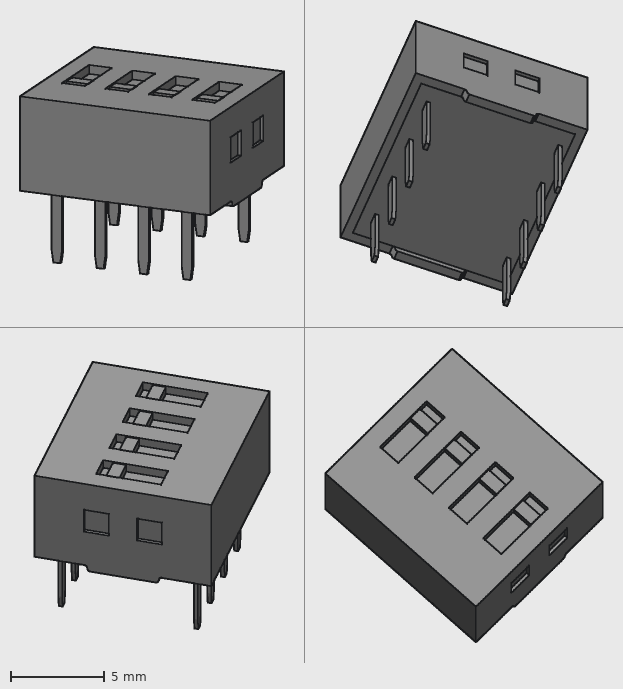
import cadquery as cq

LENGTH = 11.16
WIDTH = 9.9
HEIGHT = 5.31
WALL = 0.51
ROOF = 0.5

FOOT_HEIGHT = 0.37
FOOT_TOP_WIDTH = 4.27
FOOT_BOTTOM_WIDTH = 3.72

SWITCH_COUNT = 4
PITCH = 2.55
SLOT_WIDTH = 1.34
SLOT_LENGTH = 3.63
SLIDER_GAP = 0.028
SLIDER_LENGTH = 0.74
SLIDER_Y = -0.89
SLIDER_DROP = 0.05

WINDOW_WIDTH = 1.4
WINDOW_HEIGHT = 1.43
WINDOW_SPACING = 2.97
WINDOW_TOP_DROP = 1.7
TAB_RECESS = 0.2

PIN_LENGTH = 4.08
PIN_WIDTH = 0.6
PIN_TIP_WIDTH = 0.4
PIN_TAPER = 0.7
PIN_THICKNESS = 0.22
ROW_SPACING = 7.59
ROW_OFFSET = -0.15

CORE_LENGTH = LENGTH - 2 * WALL
CORE_WIDTH = WIDTH - 2 * WALL
CORE_HEIGHT = HEIGHT - ROOF
FLANK_RUN = (FOOT_TOP_WIDTH - FOOT_BOTTOM_WIDTH) / 4
FLANK_RADIUS = (FLANK_RUN**2 + (FOOT_HEIGHT / 2) ** 2) / (2 * FLANK_RUN)
WINDOW_Z = HEIGHT - WINDOW_TOP_DROP - WINDOW_HEIGHT
SWITCH_XS = [(i - (SWITCH_COUNT - 1) / 2) * PITCH for i in range(SWITCH_COUNT)]


def block(x_size, y_size, z_size, x=0.0, y=0.0, z=0.0):
    """Box centred on (x, y) that stands on height z."""
    return cq.Workplane("XY").box(x_size, y_size, z_size, centered=(True, True, False)).translate((x, y, z))


def make_foot(side):
    """Foot under one end wall; each S-shaped flank is two arcs that meet upright at half height."""
    half_top = FOOT_TOP_WIDTH / 2
    half_bottom = FOOT_BOTTOM_WIDTH / 2
    half_middle = (half_top + half_bottom) / 2
    middle_z = -FOOT_HEIGHT / 2
    return (
        cq.Workplane("YZ", origin=(side * (LENGTH - WALL) / 2 - WALL / 2, 0, 0))
        .moveTo(-half_middle, middle_z)
        .radiusArc((-half_bottom, -FOOT_HEIGHT), -FLANK_RADIUS)
        .lineTo(half_bottom, -FOOT_HEIGHT)
        .radiusArc((half_middle, middle_z), -FLANK_RADIUS)
        .radiusArc((half_top, 0), FLANK_RADIUS)
        .lineTo(-half_top, 0)
        .radiusArc((-half_middle, middle_z), FLANK_RADIUS)
        .close()
        .extrude(WALL)
    )


def end_wall_blocks(depth):
    """Four window-sized blocks reaching outward from the core by the given depth."""
    blocks = []
    for side in (-1, 1):
        for row in (-1, 1):
            x = side * (CORE_LENGTH + depth) / 2
            y = row * WINDOW_SPACING / 2
            blocks.append(block(depth, WINDOW_WIDTH, WINDOW_HEIGHT, x, y, WINDOW_Z))
    return blocks


def make_housing():
    housing = block(LENGTH, WIDTH, HEIGHT).cut(block(CORE_LENGTH, CORE_WIDTH, CORE_HEIGHT))
    for x in SWITCH_XS:
        housing = housing.cut(block(SLOT_WIDTH, SLOT_LENGTH, ROOF, x, 0, CORE_HEIGHT))
    for window in end_wall_blocks(WALL):
        housing = housing.cut(window)
    for side in (-1, 1):
        housing = housing.union(make_foot(side))
    return housing


def make_pin(x, y):
    """Flat pin below the base with a tapered tip."""
    taper_z = PIN_TAPER - PIN_LENGTH
    return (
        cq.Workplane("XZ", origin=(x, y + PIN_THICKNESS / 2, 0))
        .polyline([
            (-PIN_WIDTH / 2, 0),
            (PIN_WIDTH / 2, 0),
            (PIN_WIDTH / 2, taper_z),
            (PIN_TIP_WIDTH / 2, -PIN_LENGTH),
            (-PIN_TIP_WIDTH / 2, -PIN_LENGTH),
            (-PIN_WIDTH / 2, taper_z),
        ])
        .close()
        .extrude(PIN_THICKNESS)
    )


def make_base():
    """Core that fills the housing, with its latch tabs and contact pins."""
    base = block(CORE_LENGTH, CORE_WIDTH, CORE_HEIGHT)
    for tab in end_wall_blocks(WALL - TAB_RECESS):
        base = base.union(tab)
    for x in SWITCH_XS:
        for row in (-1, 1):
            base = base.union(make_pin(x, ROW_OFFSET + row * ROW_SPACING / 2))
    return base


def make_slider(x):
    """Switch slider that stands on the base inside a slot."""
    return block(SLOT_WIDTH - 2 * SLIDER_GAP, SLIDER_LENGTH, ROOF - SLIDER_DROP, x, SLIDER_Y, CORE_HEIGHT)


housing = make_housing()
base = make_base()
sliders = [make_slider(x) for x in SWITCH_XS]

result = cq.Compound.makeCompound([housing.val(), base.val(), *[slider.val() for slider in sliders]])